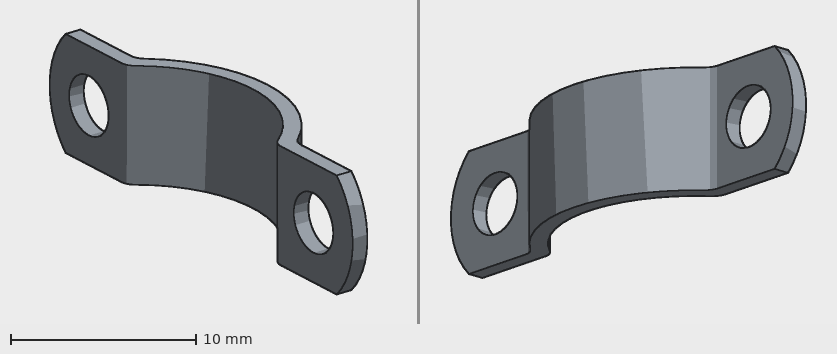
import cadquery as cq
import math

thickness = 1.0
width = 7.0
length = 27.0
height = 4.5
hole_spacing = 20.0
hole_diameter = 3.5
end_radius = 5.0
arch_inner_radius = 8.0
foot_bend_radius = 1.0
crease_radius = 1.0

arch_outer_radius = arch_inner_radius + thickness
arch_centre_y = height - arch_outer_radius


def bend(arch_radius, foot_y, bend_radius):
    """Points where a bend leaves the arch, its middle, and where it meets the foot face at foot_y."""
    centre_y = foot_y + bend_radius
    rise = centre_y - arch_centre_y
    reach = arch_radius + bend_radius
    centre_x = math.sqrt(reach**2 - rise**2)
    arch_angle = math.atan2(rise, centre_x)
    arch_end = (
        arch_radius * math.cos(arch_angle),
        arch_centre_y + arch_radius * math.sin(arch_angle),
    )
    start_angle = arch_angle - math.pi
    end_angle = -math.pi / 2
    middle_angle = (start_angle + end_angle) / 2
    middle = (
        centre_x + bend_radius * math.cos(middle_angle),
        centre_y + bend_radius * math.sin(middle_angle),
    )
    return arch_end, middle, (centre_x, foot_y)


def mirrored(point):
    """Same point on the other side of the part's middle plane."""
    return (-point[0], point[1])


def make_strip():
    """Bent strip: two flat feet joined by an arch, extruded across its width."""
    inner_end, inner_middle, inner_foot = bend(arch_inner_radius, 0, foot_bend_radius)
    outer_end, outer_middle, outer_foot = bend(arch_outer_radius, thickness, crease_radius)
    half_length = length / 2
    profile = (
        cq.Workplane("XY", origin=(0, 0, -width / 2))
        .moveTo(-half_length, 0)
        .lineTo(*mirrored(inner_foot))
        .threePointArc(mirrored(inner_middle), mirrored(inner_end))
        .threePointArc((0, height - thickness), inner_end)
        .threePointArc(inner_middle, inner_foot)
        .lineTo(half_length, 0)
        .lineTo(half_length, thickness)
        .lineTo(*outer_foot)
        .threePointArc(outer_middle, outer_end)
        .threePointArc((0, height), mirrored(outer_end))
        .threePointArc(mirrored(outer_middle), mirrored(outer_foot))
        .lineTo(-half_length, thickness)
        .close()
    )
    return profile.extrude(width)


def make_outline():
    """Flat outline of the strip with its rounded ends, as a block as deep as the part."""
    half_length = length / 2
    half_width = width / 2
    corner_x = half_length - end_radius + math.sqrt(end_radius**2 - half_width**2)
    return (
        cq.Workplane("XZ")
        .moveTo(-corner_x, -half_width)
        .lineTo(corner_x, -half_width)
        .threePointArc((half_length, 0), (corner_x, half_width))
        .lineTo(-corner_x, half_width)
        .threePointArc((-half_length, 0), (-corner_x, -half_width))
        .close()
        .extrude(-height)
    )


def make_holes():
    """Screw holes through both feet."""
    return (
        cq.Workplane("XZ")
        .pushPoints([(-hole_spacing / 2, 0), (hole_spacing / 2, 0)])
        .circle(hole_diameter / 2)
        .extrude(-thickness)
    )


result = make_strip().intersect(make_outline()).cut(make_holes())